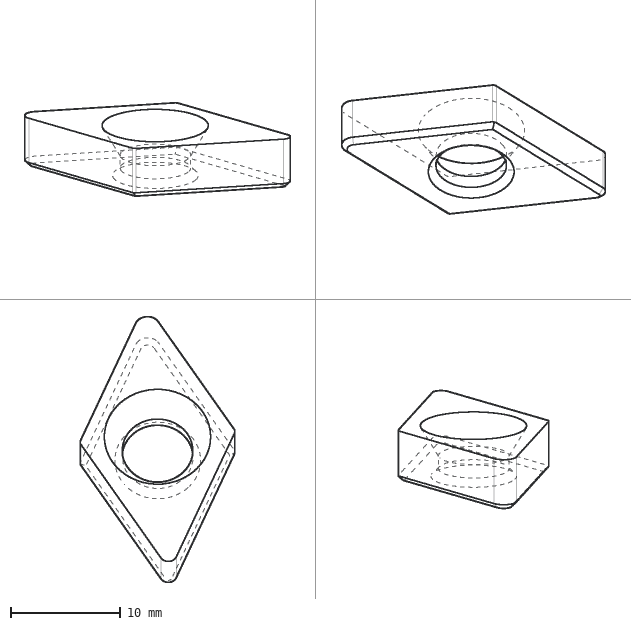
import cadquery as cq
import math

length = 22.55
width = 12.7
thickness = 4.75
acute_angle = math.radians(55)
left_nose_radius = 1.2
blunt_corner_radius = 0.4
rim_chamfer = 0.5

bore_diameter = 6.45
countersink_diameter = 9.72
countersink_depth = 2.8
bore_chamfer = 0.7

half_width = width / 2
side_length = width / math.sin(acute_angle)
side_run = width / math.tan(acute_angle)
sharp_tip_x = (side_length + side_run) / 2
blunt_corner_x = (side_length - side_run) / 2

tip_loss_per_radius = 1 / math.tan(acute_angle / 2) - 1
right_nose_radius = (2 * sharp_tip_x - length) / tip_loss_per_radius - left_nose_radius


def rhombic_prism():
    """Rhombus with its two acute corners rounded to the cutting noses."""
    corners = [
        (-sharp_tip_x, -half_width),
        (blunt_corner_x, -half_width),
        (sharp_tip_x, half_width),
        (-blunt_corner_x, half_width),
    ]
    prism = cq.Workplane("XY").polyline(corners).close().extrude(thickness)
    prism = prism.edges("|Z and <X").fillet(left_nose_radius)
    return prism.edges("|Z and >X").fillet(right_nose_radius)


def round_blunt_corners(prism):
    """Round the two vertical edges at the obtuse corners."""
    for side in (-1, 1):
        corner = (side * blunt_corner_x, -side * half_width, thickness / 2)
        prism = prism.edges(cq.selectors.NearestToPointSelector(corner)).fillet(blunt_corner_radius)
    return prism


def bore_cutter():
    """Through bore with a deep conical seat on top and a chamfer underneath."""
    bore_radius = bore_diameter / 2
    profile = [
        (0, 0),
        (bore_radius + bore_chamfer, 0),
        (bore_radius, bore_chamfer),
        (bore_radius, thickness - countersink_depth),
        (countersink_diameter / 2, thickness),
        (0, thickness),
    ]
    return cq.Workplane("XZ").polyline(profile).close().revolve(360, (0, 0), (0, 1))


prism = rhombic_prism()
chamfered_prism = prism.faces("<Z").chamfer(rim_chamfer)
body = chamfered_prism.intersect(round_blunt_corners(prism))
result = body.cut(bore_cutter())